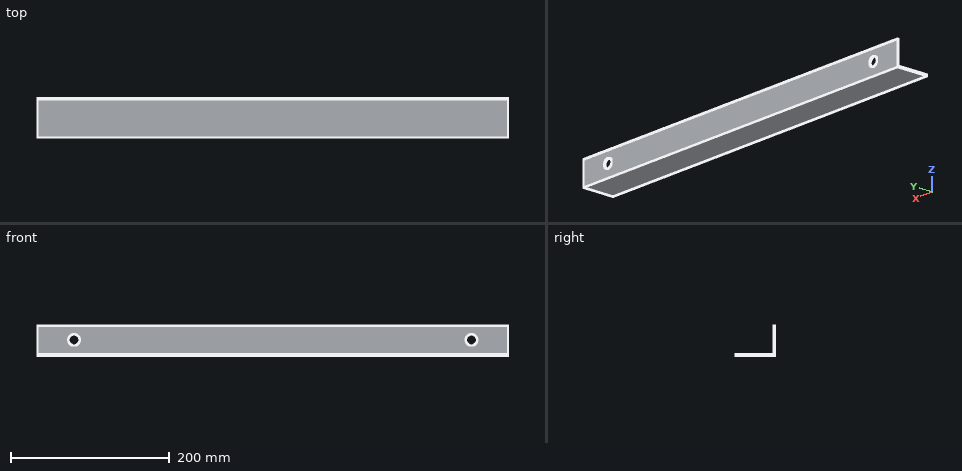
import cadquery as cq

length = 592.0
flange_depth = 50.0
web_height = 38.0
thickness = 2.0

hole_diameter = 14.0
hole_spacing = 500.0
hole_height = 20.0


def make_angle():
    """L profile with the upright web along the rear (+Y) edge, centred on X."""
    flange = cq.Workplane("XY").box(length, flange_depth, thickness, centered=(True, False, False))
    web = (
        cq.Workplane("XY")
        .box(length, thickness, web_height, centered=(True, False, False))
        .translate((0, flange_depth - thickness, 0))
    )
    return flange.union(web)


def make_hole_cutters():
    """Two cylinders along Y, placed symmetrically about the middle of the length."""
    return (
        cq.Workplane("XZ", origin=(0, flange_depth, 0))
        .pushPoints([(side * hole_spacing / 2, hole_height) for side in (-1, 1)])
        .circle(hole_diameter / 2)
        .extrude(thickness)
    )


result = make_angle().cut(make_hole_cutters())